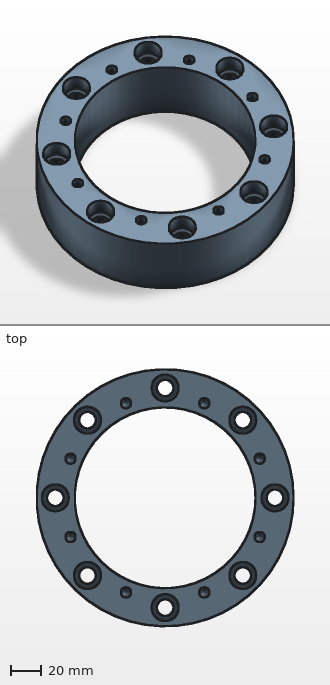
import cadquery as cq
import math

outer_diameter = 171.0
inner_diameter = 120.0
height = 50.0

bolt_count = 8
bolt_circle_radius = 73.0
bolt_hole_diameter = 11.0
counterbore_diameter = 18.0
counterbore_depth = 13.0

blind_circle_radius = 68.0
blind_hole_diameter = 6.8
blind_hole_depth = 20.0
drill_point_angle = 118.0
blind_start_angle = 180.0 / bolt_count


def make_ring():
    """Plain ring standing on the XY plane."""
    return cq.Workplane("XY").circle(outer_diameter / 2).circle(inner_diameter / 2).extrude(height)


def drill_tool():
    """Cylinder with a conical tip, its flat end level with the top face."""
    radius = blind_hole_diameter / 2
    tip_length = radius / math.tan(math.radians(drill_point_angle / 2))
    shoulder_z = height - blind_hole_depth
    profile = [
        (0, height),
        (radius, height),
        (radius, shoulder_z),
        (0, shoulder_z - tip_length),
    ]
    return cq.Workplane("XZ").polyline(profile).close().revolve(360, (0, 0), (0, 1))


def cut_bolt_holes(body):
    return (
        body.faces(">Z")
        .workplane(origin=(0, 0, height))
        .polarArray(bolt_circle_radius, 0, 360, bolt_count)
        .cboreHole(bolt_hole_diameter, counterbore_diameter, counterbore_depth)
    )


def cut_blind_holes(body):
    tool = drill_tool().translate((blind_circle_radius, 0, 0))
    for index in range(bolt_count):
        angle = blind_start_angle + index * 360 / bolt_count
        body = body.cut(tool.rotate((0, 0, 0), (0, 0, 1), angle))
    return body


result = cut_blind_holes(cut_bolt_holes(make_ring()))